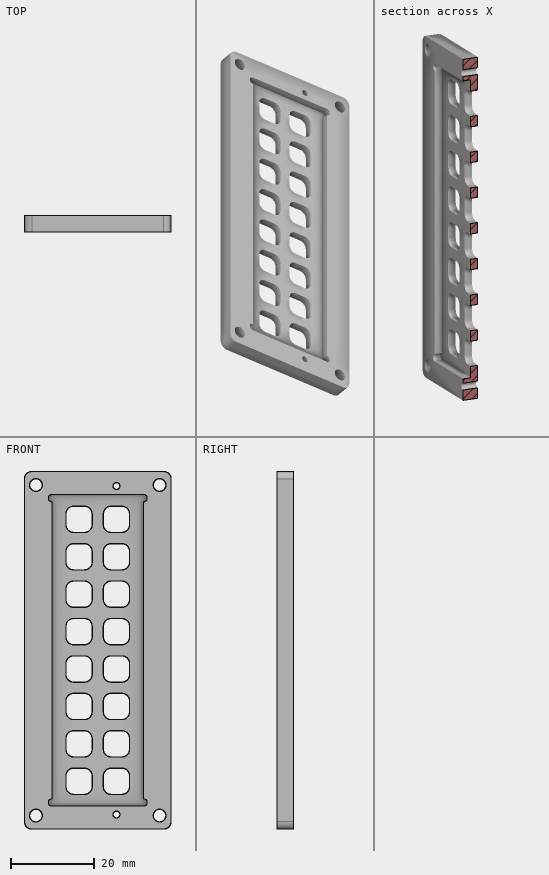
import cadquery as cq

plate_width = 35.31
plate_height = 86.06
plate_thickness = 4.0
plate_corner_radius = 1.8

mount_hole_diameter = 3.0
mount_spacing_x = 29.75
mount_spacing_z = 79.5

window_columns = 2
window_rows = 8
window_pitch = 9.0
window_size = 6.25
window_corner_radius = 1.8

recess_width = 22.0
recess_height = 75.0
recess_depth = 2.0
relief_diameter = 1.8

pin_hole_diameter = 1.6
pin_hole_x = window_pitch / 2
pin_spacing_z = 79.0


def front_plane():
    """Sketch plane on the -Y face, with local x along X, local y along Z and its normal along -Y."""
    return cq.Workplane("XZ", origin=(0, -plate_thickness / 2, 0))


def make_plate():
    plate = cq.Workplane("XY").box(plate_width, plate_thickness, plate_height)
    return plate.edges("|Y").fillet(plate_corner_radius)


def make_recess():
    recess = front_plane().rect(recess_width, recess_height).extrude(-recess_depth)
    reliefs = (
        front_plane()
        .rect(recess_width, recess_height - relief_diameter, forConstruction=True)
        .vertices()
        .circle(relief_diameter / 2)
        .extrude(-recess_depth)
    )
    return recess.union(reliefs)


def make_windows():
    windows = (
        front_plane()
        .rarray(window_pitch, window_pitch, window_columns, window_rows)
        .rect(window_size, window_size)
        .extrude(-plate_thickness)
    )
    return windows.edges("|Y").fillet(window_corner_radius)


def make_mount_holes():
    return (
        front_plane()
        .rect(mount_spacing_x, mount_spacing_z, forConstruction=True)
        .vertices()
        .circle(mount_hole_diameter / 2)
        .extrude(-plate_thickness)
    )


def make_pin_holes():
    return (
        front_plane()
        .pushPoints([(pin_hole_x, side * pin_spacing_z / 2) for side in (-1, 1)])
        .circle(pin_hole_diameter / 2)
        .extrude(-plate_thickness)
    )


result = (
    make_plate()
    .cut(make_recess())
    .cut(make_windows())
    .cut(make_mount_holes())
    .cut(make_pin_holes())
)